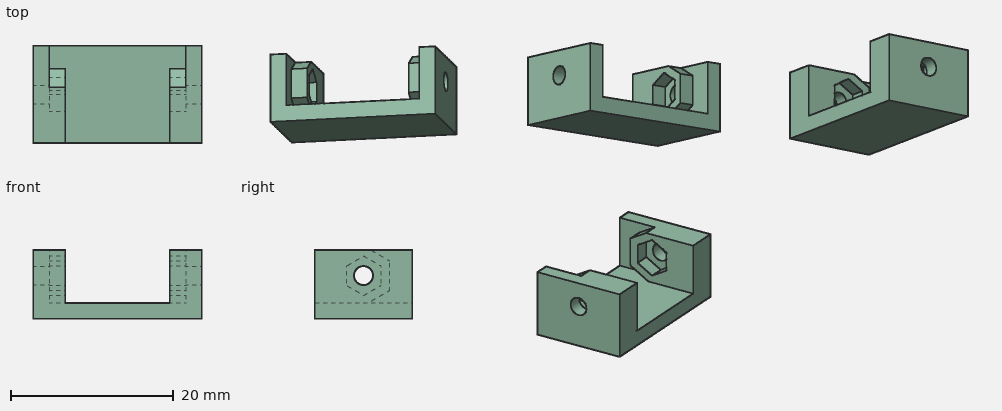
import cadquery as cq
import math

length = 20.75
width = 12.0
height = 8.5

floor_thickness = 2.0
wall_thickness = 2.0
thick_wall_thickness = 2 * wall_thickness

hole_diameter = 2.3
hole_height = 5.34
nut_across_flats = 4.2
nut_pocket_depth = thick_wall_thickness - wall_thickness
boss_across_flats = 6.33


def hexagonal_prism(across_flats, start_x, depth):
    """Hexagon about the hole axis, with a corner at top and bottom, extruded along +X."""
    across_corners = across_flats / math.cos(math.radians(30))
    return (
        cq.Workplane("YZ", origin=(start_x, 0, hole_height))
        .transformed(rotate=(0, 0, 90))
        .polygon(6, across_corners)
        .extrude(depth)
    )


def box_from_corner(corner, size):
    return cq.Workplane("XY").box(*size, centered=False).translate(corner)


def left_wall():
    """Thin end wall whose front half is doubled in thickness and ends in a hexagonal boss."""
    outer_x = -length / 2
    wall = box_from_corner((outer_x, -width / 2, 0), (wall_thickness, width, height))
    front_half = box_from_corner(
        (outer_x, -width / 2, 0), (thick_wall_thickness, width / 2, height)
    )
    envelope = box_from_corner((outer_x, -width / 2, 0), (length, width, height))
    boss = hexagonal_prism(boss_across_flats, outer_x, thick_wall_thickness).intersect(envelope)

    pocket_x = outer_x + thick_wall_thickness - nut_pocket_depth
    nut_pocket = hexagonal_prism(nut_across_flats, pocket_x, nut_pocket_depth)
    screw_hole = (
        cq.Workplane("YZ", origin=(outer_x, 0, hole_height))
        .circle(hole_diameter / 2)
        .extrude(thick_wall_thickness)
    )
    return wall.union(front_half).union(boss).cut(nut_pocket).cut(screw_hole)


floor = box_from_corner((-length / 2, -width / 2, 0), (length, width, floor_thickness))
wall_pair = left_wall().union(left_wall().mirror("YZ"))
result = wall_pair.union(floor).clean()